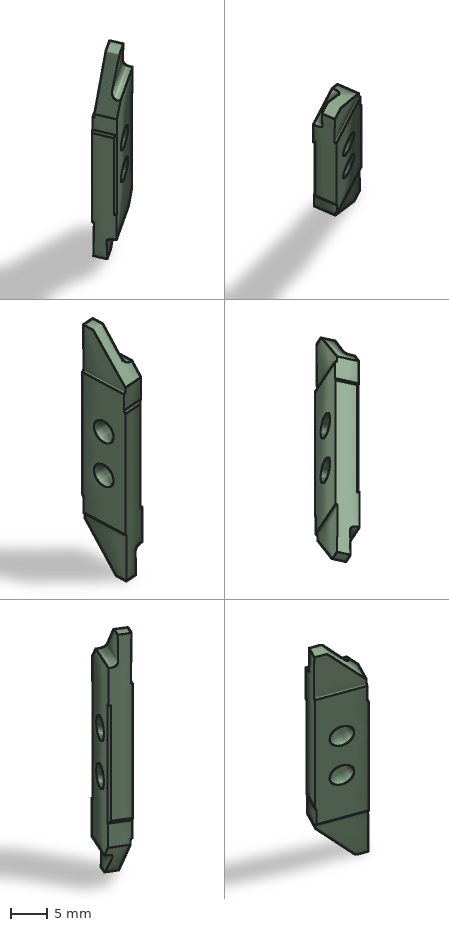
import cadquery as cq
import math

length = 40.0
width = 8.0
thickness = 3.5
half_length = length / 2
half_width = width / 2

front_relief_root = 0.3
front_relief_end = 0.2
front_step_start = 7.65
front_step_length = 0.35
tip_back_root = 2.1
tip_back_end = 2.2
shoulder = 4.95
shoulder_radius = 0.9

tip_width = 1.9
taper_length = 7.0
tip_corner_radius = 0.4

side_relief = 0.25
side_relief_start = 10.75
side_relief_end = 11.25
bevel_depth = 0.35
bevel_width = 0.4
bevel_end = 10.85

hole_diameter = 3.6
hole_spacing = 7.5


def turned(shape):
    """Return the shape turned half a revolution about the X axis."""
    return shape.rotate((0, 0, 0), (1, 0, 0), 180)


def thickness_profile():
    """Make the XZ section with relieved, thinner tips, extruded across the width.

    Each tip narrows slightly from its end toward its root for clearance.
    """
    step_start_z = half_length - front_step_start
    step_end_z = step_start_z - front_step_length
    step_radius = (front_relief_root ** 2 + front_step_length ** 2) / (2 * front_relief_root)
    step_half_angle = math.atan2(front_relief_root, front_step_length)
    step_mid = (
        front_relief_root - step_radius * (1 - math.cos(step_half_angle)),
        step_start_z - step_radius * math.sin(step_half_angle),
    )
    shoulder_z = half_length - shoulder
    fillet_mid = shoulder_radius * (1 - 0.5 ** 0.5)
    fillet_x = tip_back_root + shoulder_radius
    fillet_z = shoulder_z + shoulder_radius
    return (
        cq.Workplane("XZ")
        .moveTo(0, 0)
        .lineTo(0, step_end_z)
        .threePointArc(step_mid, (front_relief_root, step_start_z))
        .lineTo(front_relief_end, half_length)
        .lineTo(tip_back_end, half_length)
        .lineTo(tip_back_root, fillet_z)
        .threePointArc((tip_back_root + fillet_mid, shoulder_z + fillet_mid), (fillet_x, shoulder_z))
        .lineTo(thickness, shoulder_z)
        .lineTo(thickness, 0)
        .mirrorX()
        .extrude(half_width, both=True)
    )


def width_outline():
    """Make the YZ outline, which repeats after half a turn about X."""
    relieved_y = -half_width + side_relief
    upper_edge = [
        (-half_width, half_length - side_relief_end),
        (relieved_y, half_length - side_relief_start),
        (relieved_y, half_length - taper_length),
        (half_width - tip_width, half_length),
        (half_width, half_length),
    ]
    lower_edge = [(-y, -z) for y, z in upper_edge]
    plate = cq.Workplane("YZ").polyline(upper_edge + lower_edge).close().extrude(thickness)
    for side in (1, -1):
        corner = cq.selectors.NearestToPointSelector(
            (thickness / 2, side * (half_width - tip_width), side * half_length)
        )
        plate = plate.edges("|X").edges(corner).fillet(tip_corner_radius)
    return plate


def bevel_cutter():
    """Make the wedge that bevels the back edge of the -Y side."""
    bevel_start_z = half_length - side_relief_start
    bevel_end_z = -half_length + bevel_end
    return (
        cq.Workplane("XY", origin=(0, 0, bevel_end_z))
        .moveTo(thickness, -half_width)
        .lineTo(thickness - bevel_depth, -half_width)
        .lineTo(thickness, -half_width + bevel_width)
        .close()
        .extrude(bevel_start_z - bevel_end_z)
    )


def holes():
    """Make the two bores through the thickness."""
    return (
        cq.Workplane("YZ")
        .pushPoints([(0, -hole_spacing / 2), (0, hole_spacing / 2)])
        .circle(hole_diameter / 2)
        .extrude(thickness)
    )


bevel = bevel_cutter()
result = thickness_profile().intersect(width_outline())
result = result.cut(bevel).cut(turned(bevel)).cut(holes())